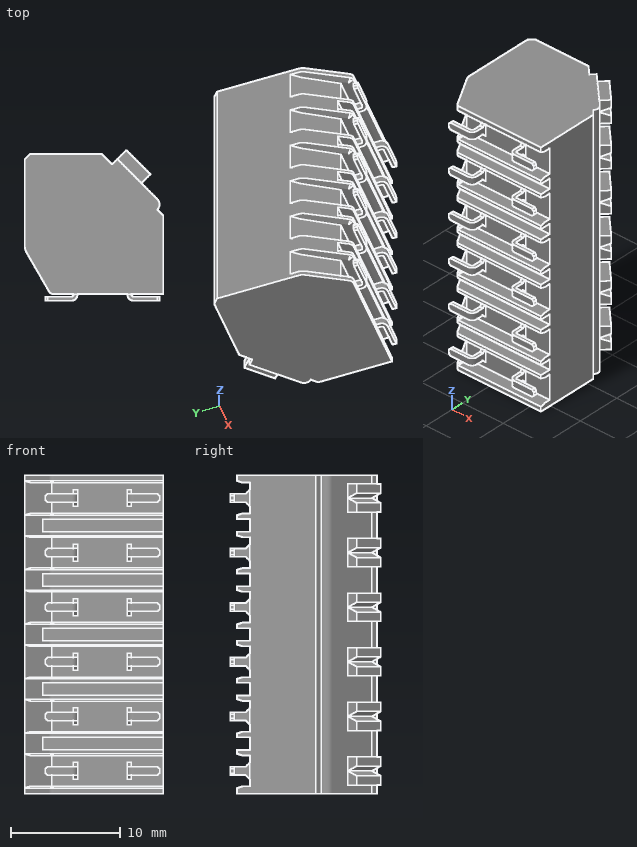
import cadquery as cq
import math

length = 29.2
width = 12.7
housing_depth = 12.85
depth_overall = 13.8

pole_count = 6
first_pole_z = 2.1
pole_pitch = (length - 2 * first_pole_z) / (pole_count - 1)
pole_heights = [first_pole_z + i * pole_pitch for i in range(pole_count)]
gap_heights = [z + pole_pitch / 2 for z in pole_heights[:-1]]

slant_width = 2.37
slant_angle = 60.0
slant_depth = slant_width * math.tan(math.radians(slant_angle))
slant_left_radius = 1.15
slant_front_radius = 0.5
back_chamfer = 0.5
bevel_size = 5.65

plate_start = 1.35
plate_end = 7.2
plate_height = 0.67
plate_end_radius = 0.67
button_length = 3.12
button_width = 2.6
groove_width = 0.9

recess_height = 3.12
recess_depth = 1.2
recess_corner_x = 2.48
recess_left_depth = 5.2
lip_inset = 0.53
lip_height = 0.16
slot_height = 1.15

foot_drop = 0.6
pin_thickness = 0.38
pin_width = 0.8
bend_radius = 0.58
shoulder_width = 1.55
shoulder_depth = 0.38
foot_chamfer = 0.2
left_foot_tip, left_pin_face = 1.9, 4.85
right_foot_tip, right_pin_face = 12.35, 9.4
pin_embed = 0.3

button_rise = depth_overall - foot_drop - housing_depth
button_height = button_rise * math.sqrt(2) + plate_start - plate_height

bevel_origin = (width - bevel_size, housing_depth, 0)

margin = 1.45


def bevel_plane():
    """Local x runs along the bevel toward the right face, local y points out of it."""
    return cq.Workplane(cq.Plane(origin=bevel_origin, xDir=(1, -1, 0), normal=(0, 0, 1)))


def slanted_block(right, back, height, taper=0):
    """Block with the rounded slanted corner at the left of its front face."""
    profile = (
        cq.Sketch()
        .polygon([
            (0, slant_depth),
            (slant_width, 0),
            (right, 0),
            (right, back),
            (0, back),
            (0, slant_depth),
        ])
        .reset().vertices(cq.selectors.NearestToPointSelector((0, slant_depth, 0)))
        .fillet(slant_left_radius)
        .reset().vertices(cq.selectors.NearestToPointSelector((slant_width, 0, 0)))
        .fillet(slant_front_radius)
    )
    return cq.Workplane("XY").placeSketch(profile).extrude(height, taper=taper)


def make_housing():
    block = slanted_block(width, housing_depth, length)
    block = block.edges("|Z").edges("<X and >Y").chamfer(back_chamfer)
    bevel_length = bevel_size * math.sqrt(2)
    bevel = (
        bevel_plane()
        .moveTo(bevel_length / 2, bevel_size / 2)
        .rect(bevel_length + 2 * margin, bevel_size)
        .extrude(length)
    )
    plate = (
        bevel_plane()
        .moveTo(plate_start, -margin)
        .lineTo(plate_end, -margin)
        .lineTo(plate_end, plate_height - plate_end_radius)
        .radiusArc((plate_end - plate_end_radius, plate_height), -plate_end_radius)
        .lineTo(plate_start, plate_height)
        .close()
        .extrude(length)
    )
    return block.cut(bevel).union(plate)


def make_button(z):
    """Push button with a V groove along its top, running down to the plate."""
    half_width = button_width / 2
    half_groove = groove_width / 2
    direction = 1 / math.sqrt(2)
    start = (
        bevel_origin[0] + plate_start * direction,
        bevel_origin[1] - plate_start * direction,
        z,
    )
    top = plate_height + button_height
    return (
        cq.Workplane(cq.Plane(origin=start, xDir=(1, 1, 0), normal=(1, -1, 0)))
        .polyline([
            (0, -half_width),
            (top, -half_width),
            (top, -half_groove),
            (plate_height, 0),
            (top, half_groove),
            (top, half_width),
            (0, half_width),
        ])
        .close()
        .extrude(button_length)
    )


def make_recess(z):
    """Recess around the slanted corner, leaving tapered lips on the walls above and below."""
    space = (
        cq.Workplane("XY")
        .polyline([
            (0, recess_left_depth),
            (recess_corner_x, recess_depth),
            (width, recess_depth),
            (width, -margin),
            (-margin, -margin),
            (-margin, recess_left_depth),
        ])
        .close()
        .extrude(recess_height)
    )
    lip_angle = math.degrees(math.atan(lip_inset / lip_height))
    lower_lip = slanted_block(width + margin, housing_depth, lip_height, lip_angle)
    upper_lip = lower_lip.mirror("XY").translate((0, 0, recess_height))
    return space.cut(lower_lip).cut(upper_lip).translate((0, 0, z - recess_height / 2))


def make_slot(z):
    return cq.Workplane("XY").box(
        width, recess_depth, slot_height, centered=(False, False, True)
    ).translate((0, 0, z))


def make_pin(face_x, tip_x, z):
    """Pin whose blade face is at face_x and whose foot reaches to tip_x."""
    side = math.copysign(1, tip_x - face_x)
    back = recess_depth + pin_embed
    inner_radius = bend_radius - pin_thickness
    inner_x = face_x + side * pin_thickness
    bend_x = face_x + side * bend_radius
    bend_y = bend_radius - foot_drop
    strip = (
        cq.Workplane("XY")
        .moveTo(face_x, back)
        .lineTo(face_x, bend_y)
        .radiusArc((bend_x, -foot_drop), -side * bend_radius)
        .lineTo(tip_x, -foot_drop)
        .lineTo(tip_x, pin_thickness - foot_drop)
        .lineTo(bend_x, pin_thickness - foot_drop)
        .radiusArc((inner_x, bend_y), side * inner_radius)
        .lineTo(inner_x, back)
        .close()
        .extrude(pin_width / 2, both=True)
    )
    strip = strip.edges("|Y").edges(">X" if side > 0 else "<X").chamfer(foot_chamfer)
    shoulder = (
        cq.Workplane("YZ", origin=((face_x + inner_x) / 2, 0, 0))
        .polyline([
            (recess_depth - shoulder_depth, -pin_width / 2),
            (recess_depth, -shoulder_width / 2),
            (back, -shoulder_width / 2),
            (back, shoulder_width / 2),
            (recess_depth, shoulder_width / 2),
            (recess_depth - shoulder_depth, pin_width / 2),
        ])
        .close()
        .extrude(pin_thickness / 2, both=True)
    )
    return strip.union(shoulder).translate((0, 0, z))


result = make_housing()
for gap_z in gap_heights:
    result = result.cut(make_slot(gap_z))
for pole_z in pole_heights:
    result = result.cut(make_recess(pole_z))
    result = result.union(make_button(pole_z))
    result = result.union(make_pin(left_pin_face, left_foot_tip, pole_z))
    result = result.union(make_pin(right_pin_face, right_foot_tip, pole_z))